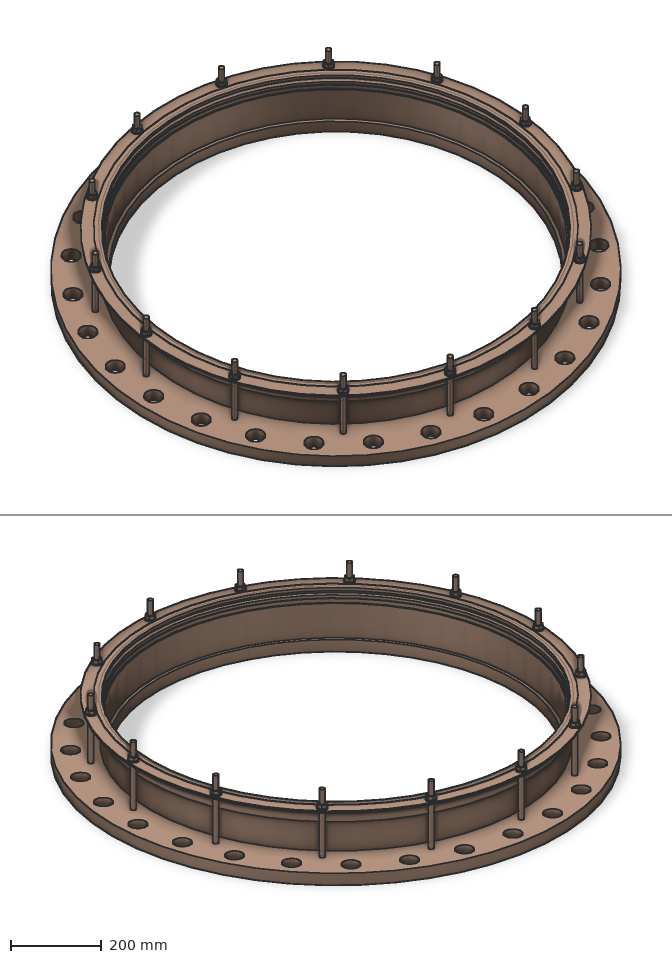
import cadquery as cq

flange_radius = 628.0
flange_thickness = 30.0
bore_radius = 500.0
bolt_count = 28
bolt_circle_radius = 585.0
bolt_hole_diameter = 43.0

sleeve_inner_radius = 508.0
sleeve_outer_radius = 520.0
socket_inner_radius = 526.0
socket_outer_radius = 536.0
socket_base_z = 110.0
socket_floor_z = 115.0
seal_inner_radius = 515.0
seal_step_radius = 512.0
seal_step_z = 125.0
seal_top_z = 133.0

clamp_outer_radius = 562.0
clamp_inner_radius = 516.0
clamp_bottom_z = 143.0
clamp_top_z = 150.0
clamp_edge_chamfer = 4.0
clamp_lip_outer_radius = 533.0
clamp_lip_inner_radius = 523.0
clamp_lip_height = 1.0
clamp_mouth_depth = 1.0

stud_count = 14
stud_circle_radius = 547.0
stud_diameter = 13.0
stud_top_z = 198.0
washer_diameter = 25.0
washer_thickness = 3.0
nut_across_flats = 20.0
nut_height = 9.0


def ring(inner_radius, outer_radius, bottom_z, top_z):
    """Plain ring about the Z axis."""
    return (
        cq.Workplane("XY", origin=(0, 0, bottom_z))
        .circle(outer_radius)
        .circle(inner_radius)
        .extrude(top_z - bottom_z)
    )


def make_base_flange():
    """Flat flange with bolt holes straddling the X and Y axes."""
    half_pitch = 180 / bolt_count
    holes = (
        cq.Workplane("XY")
        .polarArray(bolt_circle_radius, half_pitch, 360, bolt_count)
        .circle(bolt_hole_diameter / 2)
        .extrude(flange_thickness)
    )
    return ring(bore_radius, flange_radius, 0, flange_thickness).cut(holes)


def make_sleeve():
    """Tube on the flange that widens into the socket, with the seal inside."""
    tube = ring(sleeve_inner_radius, sleeve_outer_radius, flange_thickness, socket_floor_z)
    socket_floor = ring(sleeve_inner_radius, socket_outer_radius, socket_base_z, socket_floor_z)
    socket_wall = ring(socket_inner_radius, socket_outer_radius, socket_floor_z, clamp_bottom_z)
    seal = ring(seal_inner_radius, socket_inner_radius, socket_floor_z, seal_top_z)
    seal_step = ring(seal_step_radius, socket_inner_radius, socket_floor_z, seal_step_z)
    return tube.union(socket_floor).union(socket_wall).union(seal).union(seal_step)


def make_clamp_ring():
    """Ring with a chamfered lower outer edge, a low inner lip and a conical mouth."""
    lip_top_z = clamp_top_z + clamp_lip_height
    profile = [
        (clamp_inner_radius, clamp_bottom_z),
        (clamp_outer_radius - clamp_edge_chamfer, clamp_bottom_z),
        (clamp_outer_radius, clamp_bottom_z + clamp_edge_chamfer),
        (clamp_outer_radius, clamp_top_z),
        (clamp_lip_outer_radius, clamp_top_z),
        (clamp_lip_outer_radius, lip_top_z),
        (clamp_lip_inner_radius, lip_top_z),
        (clamp_inner_radius, lip_top_z - clamp_mouth_depth),
    ]
    return cq.Workplane("XZ").polyline(profile).close().revolve(360, (0, 0, 0), (0, 1, 0))


def make_stud():
    """Stud on the +X axis with its washer and nut, the nut flats square to the radius."""
    washer_top_z = clamp_top_z + washer_thickness
    stud = (
        cq.Workplane("XY", origin=(stud_circle_radius, 0, 0))
        .circle(stud_diameter / 2)
        .extrude(stud_top_z)
    )
    washer = (
        cq.Workplane("XY", origin=(stud_circle_radius, 0, clamp_top_z))
        .circle(washer_diameter / 2)
        .extrude(washer_thickness)
    )
    nut = (
        cq.Workplane("XY", origin=(stud_circle_radius, 0, washer_top_z))
        .transformed(rotate=(0, 0, 30))
        .polygon(6, nut_across_flats, circumscribed=True)
        .extrude(nut_height)
    )
    return stud.union(washer).union(nut)


result = make_base_flange().union(make_sleeve()).union(make_clamp_ring())
stud_assembly = make_stud()
for index in range(stud_count):
    angle = index * 360 / stud_count
    result = result.union(stud_assembly.rotate((0, 0, 0), (0, 0, 1), angle))